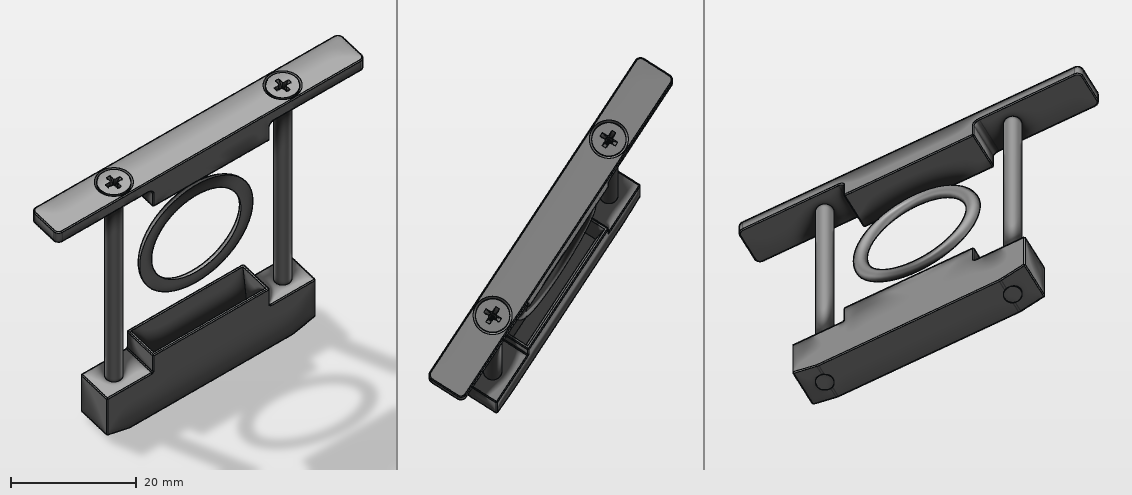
import cadquery as cq
import math

width = 6.8
overall_height = 55.3
screw_spacing = 34.0
screw_diameter = 3.0
screw_ys = (-screw_spacing / 2, screw_spacing / 2)
edge_break = 0.2

cap_length = 62.0
cap_thickness = 2.5
cap_corner_radius = 1.0
plug_length = 23.5
plug_depth = 4.0
plug_fillet_radius = 1.0
cap_bottom = overall_height - cap_thickness
sink_diameter = 6.2

base_length = 42.05
base_flat_length = 33.0
base_slope_height = 1.3
base_height = 14.0
box_length = plug_length
box_rise = 4.0
ledge_height = base_height - box_rise
box_wall = 0.5
box_floor = 1.0
pocket_draft = 7.5

head_diameter = 5.45
head_rim_height = (sink_diameter - head_diameter) / 2
screw_end = 0.2
cross_length = 2.9
cross_width = 0.7
cross_slope = 60.0
cross_depth = cross_length / 2 * math.tan(math.radians(cross_slope))
core_diameter = 1.25

ring_band = 2.4
ring_inner_diameter = 18.0
ring_height = 31.45
ring_back = -0.5


def side_plate(outline):
    """Extrude a (Y, Z) outline symmetrically to the full width."""
    return cq.Workplane("YZ").polyline(outline).close().extrude(width / 2, both=True)


def screw_solid(bottom, rim_height, top_diameter):
    """Shank that flares at 45 degrees to top_diameter, ending in a straight rim at the cap top."""
    shank_radius = screw_diameter / 2
    top_radius = top_diameter / 2
    flare_top = overall_height - rim_height
    flare_bottom = flare_top - (top_radius - shank_radius)
    outline = cq.Workplane("XZ").moveTo(0, bottom).lineTo(shank_radius, bottom)
    outline = outline.lineTo(shank_radius, flare_bottom).lineTo(top_radius, flare_top)
    if rim_height > 0:
        outline = outline.lineTo(top_radius, overall_height)
    return outline.lineTo(0, overall_height).close().revolve(360, (0, 0, 0), (0, 1, 0))


def make_cap():
    bar = (
        cq.Workplane("XY", origin=(0, 0, cap_bottom))
        .box(width, cap_length, cap_thickness, centered=(True, True, False))
        .edges("|Z")
        .fillet(cap_corner_radius)
    )
    plug = cq.Workplane("XY", origin=(0, 0, cap_bottom - plug_depth)).box(
        width, plug_length, plug_depth + cap_thickness / 2, centered=(True, True, False)
    )
    half = plug_length / 2
    cap = bar.union(plug)
    root_edges = cq.selectors.BoxSelector(
        (-width, -half - 0.05, cap_bottom - 0.05), (width, half + 0.05, cap_bottom + 0.05)
    )
    cap = cap.edges("|X").edges(root_edges).fillet(plug_fillet_radius)
    cap = cap.faces("<X or >X or <Z or >Z").edges().chamfer(edge_break)
    sink = screw_solid(0, 0, sink_diameter)
    for y in screw_ys:
        cap = cap.cut(sink.translate((0, y, 0)))
    return cap


def make_base():
    end = base_length / 2
    flat_end = base_flat_length / 2
    box_end = box_length / 2
    base = side_plate([
        (-flat_end, 0),
        (flat_end, 0),
        (end, base_slope_height),
        (end, ledge_height),
        (box_end, ledge_height),
        (box_end, base_height),
        (-box_end, base_height),
        (-box_end, ledge_height),
        (-end, ledge_height),
        (-end, base_slope_height),
    ])
    base = base.edges().chamfer(edge_break)
    rim = width / 2 - box_wall
    floor = rim - (base_height - box_floor) * math.tan(math.radians(pocket_draft))
    pocket = (
        cq.Workplane("XZ")
        .polyline([(-rim, base_height), (rim, base_height), (floor, box_floor), (-floor, box_floor)])
        .close()
        .extrude(box_length / 2 - box_wall, both=True)
    )
    base = base.cut(pocket)
    screw_holes = (
        cq.Workplane("XY")
        .pushPoints([(0, y) for y in screw_ys])
        .circle(screw_diameter / 2)
        .extrude(base_height)
    )
    return base.cut(screw_holes)


def cross_wings():
    """V-shaped wing pair of the cross recess, lying along X."""
    return (
        cq.Workplane("XZ", origin=(0, 0, overall_height))
        .polyline([(-cross_length / 2, 0), (cross_length / 2, 0), (0, -cross_depth)])
        .close()
        .extrude(cross_width / 2, both=True)
    )


def cross_core():
    """Round centre of the cross recess with a 90 degree conical bottom."""
    radius = core_diameter / 2
    return (
        cq.Workplane("XZ", origin=(0, 0, overall_height))
        .polyline([(0, 0), (radius, 0), (radius, radius - cross_depth), (0, -cross_depth)])
        .close()
        .revolve(360, (0, 0, 0), (0, 1, 0))
    )


def make_screw():
    wings = cross_wings()
    screw = screw_solid(screw_end, head_rim_height, head_diameter)
    return screw.cut(wings).cut(wings.rotate((0, 0, 0), (0, 0, 1), 90)).cut(cross_core())


def make_ring():
    """Half-round ring about the X axis: flat back toward +X, domed front toward -X."""
    inner = ring_inner_diameter / 2
    outer = inner + ring_band
    dome_crest = (ring_back - ring_band / 2, inner + ring_band / 2)
    return (
        cq.Workplane("XY")
        .moveTo(ring_back, inner)
        .threePointArc(dome_crest, (ring_back, outer))
        .close()
        .revolve(360, (0, 0, 0), (1, 0, 0))
        .translate((0, 0, ring_height))
    )


cap = make_cap()
base = make_base()
screws = [make_screw().translate((0, y, 0)) for y in screw_ys]
ring = make_ring()

result = cq.Compound.makeCompound([cap.val(), base.val(), *[screw.val() for screw in screws], ring.val()])